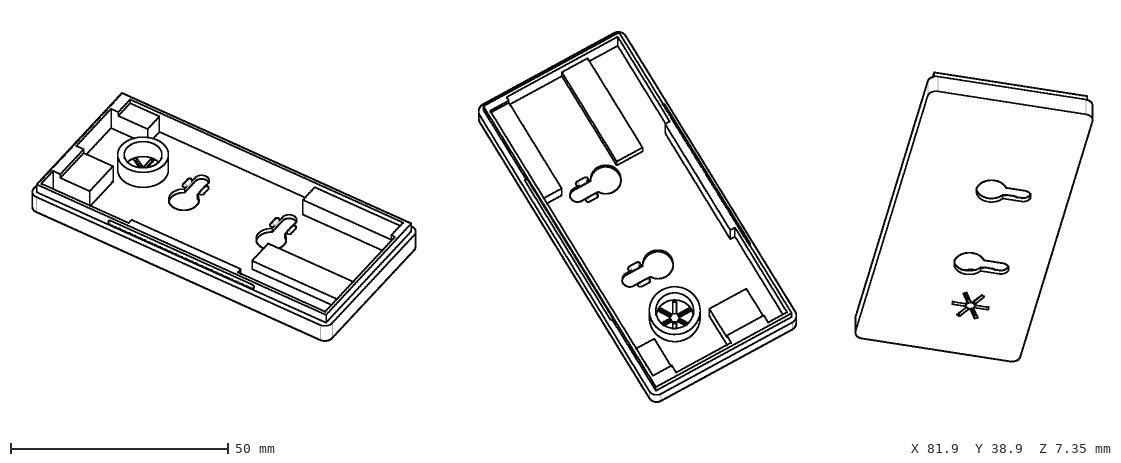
import cadquery as cq
import math

length = 81.9
width = 38.85
height = 7.35
corner_radius = 2.0

base_height = 4.85
rim_length = 79.4
rim_width = 36.1

floor_thickness = 1.2
end_wall = 0.75
side_wall = 0.8
cavity_length = rim_length - 2 * end_wall
cavity_width = rim_width - 2 * side_wall
cavity_x = cavity_length / 2
cavity_y = cavity_width / 2

upper_block_y = 12.25
lower_block_y = -2.4
left_block_x = -28.9
left_block_top = 6.15
left_block_end_y = -12.25
right_block_x = 13.7
right_upper_block_top = 5.9
right_lower_block_top = 3.85
right_lower_block_end_y = -9.25

left_pad_width = 2.0
right_pad_width = 1.0

lip_length = 30.0
lip_depth = 1.25

cup_x = -25.25
cup_y = 4.7
cup_outer_radius = 5.85
cup_inner_radius = 4.35
cup_top = 6.0
sound_slot_count = 6
sound_slot_width = 0.8
sound_slot_inner_end = 1.0
sound_slot_outer_end = 4.25

keyhole_spacing = 24.0
keyhole_head_y = 1.5
keyhole_head_radius = 3.5
keyhole_neck_width = 3.5
keyhole_neck_end_y = 9.0

detent_radius = 0.55
detent_length = 3.1
detent_y = 6.5

snap_radius = 0.55
snap_length = 40.0
snap_z = 5.85


def box_between(x_range, y_range, z_range):
    """Box filling the given (start, end) ranges along X, Y and Z."""
    sizes = [abs(end - start) for start, end in (x_range, y_range, z_range)]
    corner = (min(x_range), min(y_range), min(z_range))
    return cq.Workplane("XY").box(*sizes, centered=False).translate(corner)


def round_ended_bead(total_length, radius):
    """Cylinder along X with hemispherical ends, centred on the origin."""
    half_straight = total_length / 2 - radius
    half_length = total_length / 2
    arc_offset = radius * math.sqrt(0.5)
    profile = (
        cq.Workplane("XY")
        .moveTo(-half_length, 0)
        .threePointArc((-half_straight - arc_offset, arc_offset), (-half_straight, radius))
        .lineTo(half_straight, radius)
        .threePointArc((half_straight + arc_offset, arc_offset), (half_length, 0))
        .close()
    )
    return profile.revolve(360, (0, 0, 0), (1, 0, 0))


def tray():
    base = cq.Workplane("XY").rect(length, width).extrude(base_height).edges("|Z").fillet(corner_radius)
    rim = cq.Workplane("XY").rect(rim_length, rim_width).extrude(height)
    cavity = (
        cq.Workplane("XY")
        .workplane(offset=floor_thickness)
        .rect(cavity_length, cavity_width)
        .extrude(height - floor_thickness)
    )
    return base.union(rim).cut(cavity)


def blocks_and_pads():
    left_x = (-cavity_x, left_block_x)
    right_x = (right_block_x, cavity_x)
    left_pad_x = (-cavity_x, -cavity_x + left_pad_width)
    right_pad_x = (cavity_x - right_pad_width, cavity_x)
    upper_y = (upper_block_y, cavity_y)
    left_lower_y = (left_block_end_y, lower_block_y)
    right_lower_y = (right_lower_block_end_y, lower_block_y)

    placements = [
        (left_x, upper_y, left_block_top),
        (left_x, left_lower_y, left_block_top),
        (right_x, upper_y, right_upper_block_top),
        (right_x, right_lower_y, right_lower_block_top),
        (left_pad_x, upper_y, height),
        (left_pad_x, left_lower_y, height),
        (right_pad_x, upper_y, height),
    ]
    blocks = cq.Workplane("XY")
    for x_range, y_range, top in placements:
        blocks = blocks.union(box_between(x_range, y_range, (0, top)))
    return blocks


def wall_lip():
    half_lip = lip_length / 2
    return box_between((-half_lip, half_lip), (-cavity_y, -cavity_y + lip_depth), (0, height))


def cup_wall():
    return (
        cq.Workplane("XY")
        .workplane(offset=floor_thickness)
        .center(cup_x, cup_y)
        .circle(cup_outer_radius)
        .circle(cup_inner_radius)
        .extrude(cup_top - floor_thickness)
    )


def sound_slots():
    half_slot = sound_slot_width / 2
    slot = box_between(
        (sound_slot_inner_end, sound_slot_outer_end), (-half_slot, half_slot), (0, floor_thickness)
    )
    slots = cq.Workplane("XY")
    for index in range(sound_slot_count):
        angle = 90 + index * 360 / sound_slot_count
        slots = slots.union(slot.rotate((0, 0, 0), (0, 0, 1), angle))
    return slots.translate((cup_x, cup_y, 0))


def keyhole(x):
    head = cq.Workplane("XY").center(x, keyhole_head_y).circle(keyhole_head_radius).extrude(floor_thickness)
    half_neck = keyhole_neck_width / 2
    neck = box_between(
        (x - half_neck, x + half_neck), (keyhole_head_y, keyhole_neck_end_y), (0, floor_thickness)
    )
    neck_end = cq.Workplane("XY").center(x, keyhole_neck_end_y).circle(half_neck).extrude(floor_thickness)
    return head.union(neck).union(neck_end)


def keyhole_detents(x):
    bead = round_ended_bead(detent_length, detent_radius).rotate((0, 0, 0), (0, 0, 1), 90)
    offset = keyhole_neck_width / 2 + detent_radius
    left = bead.translate((x - offset, detent_y, floor_thickness))
    right = bead.translate((x + offset, detent_y, floor_thickness))
    return left.union(right)


def snap_bead(side):
    return round_ended_bead(snap_length, snap_radius).translate((0, side * rim_width / 2, snap_z))


result = tray().union(blocks_and_pads()).union(wall_lip()).union(cup_wall()).cut(sound_slots())
for side in (-1, 1):
    keyhole_x = side * keyhole_spacing / 2
    result = result.cut(keyhole(keyhole_x)).union(keyhole_detents(keyhole_x)).union(snap_bead(side))